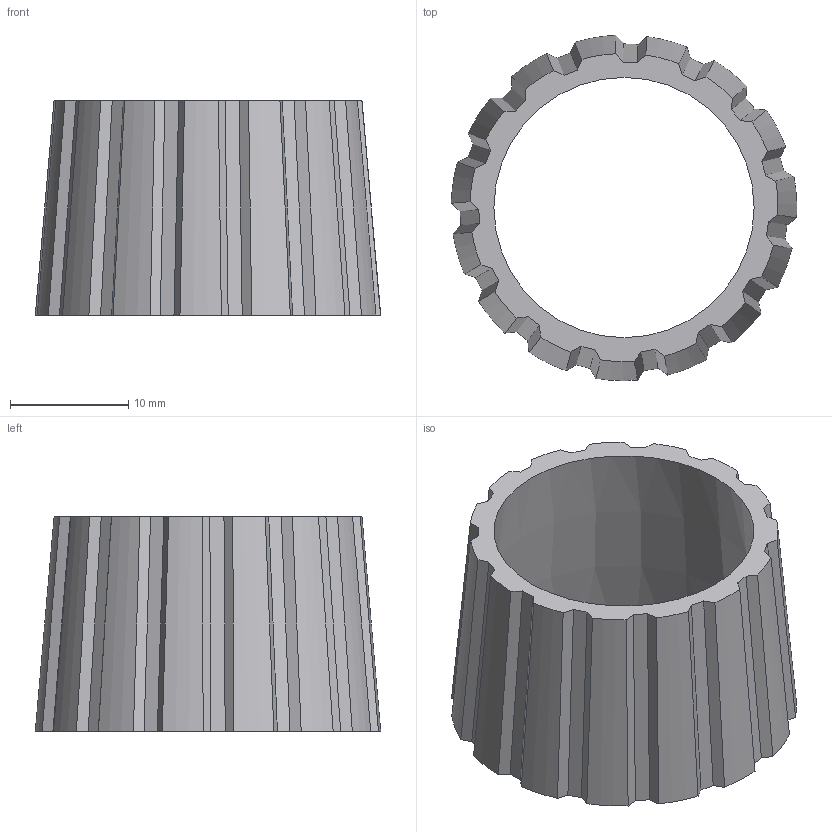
import cadquery as cq
import math

height = 18.15
taper_angle = 5.0
bottom_radius = 14.61
top_bore_radius = 11.0

groove_count = 15
first_groove_angle = 87.55
groove_depth = 0.76
groove_floor_width = 1.2
groove_flank_angle = 45.0

taper_run = height * math.tan(math.radians(taper_angle))
top_radius = bottom_radius - taper_run
bottom_bore_radius = top_bore_radius + taper_run


def tapered_sleeve():
    """Conical ring of constant radial thickness, open at both ends."""
    outside = cq.Solid.makeCone(bottom_radius, top_radius, height)
    bore = cq.Solid.makeCone(bottom_bore_radius, top_bore_radius, height)
    return cq.Workplane(outside).cut(cq.Workplane(bore))


def groove_section(z, outer_radius):
    """Trapezoidal groove outline on the +X side, running past the outer surface."""
    floor_x = outer_radius - groove_depth
    mouth_x = outer_radius + groove_depth
    floor_y = groove_floor_width / 2
    mouth_y = floor_y + (mouth_x - floor_x) * math.tan(math.radians(groove_flank_angle))
    corners = [(floor_x, -floor_y), (mouth_x, -mouth_y), (mouth_x, mouth_y), (floor_x, floor_y)]
    return cq.Wire.makePolygon([cq.Vector(x, y, z) for x, y in corners], close=True)


def groove_cutter():
    """Full-height groove of constant section that follows the slope of the outer cone."""
    sections = [groove_section(0, bottom_radius), groove_section(height, top_radius)]
    return cq.Workplane(cq.Solid.makeLoft(sections, True))


result = tapered_sleeve()

cutter = groove_cutter()
for index in range(groove_count):
    angle = first_groove_angle + index * 360 / groove_count
    result = result.cut(cutter.rotate((0, 0, 0), (0, 0, 1), angle))